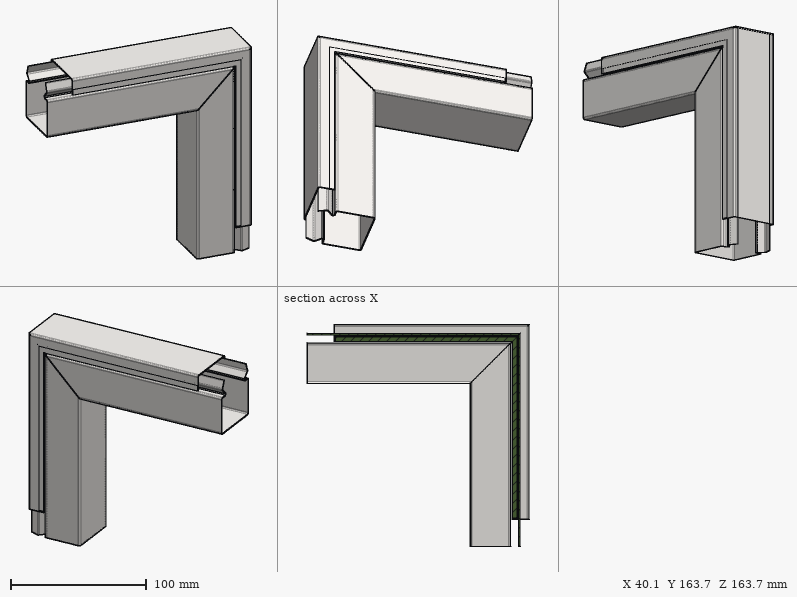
import cadquery as cq
import math

LENGTH = 163.7
WIDTH = 40.1
HEIGHT = 43.9
SHEET = 0.8
CORNER_RADIUS = 1.6

SHOULDER_DEPTH = 13.6
LIP_REACH = 6.4
LIP_RISE = 1.1
LIP_RADIUS = 1.6
LIP_BEND_RADIUS = 0.8
BARB_INSET = 0.8
BARB_OUTER_RADIUS = 1.0
BARB_INNER_RADIUS = 1.3
FLAP_TIP_RADIUS = 0.3
FLAP_LEAN = 2.6

COVER_LENGTH = 143.7
COVER_SIDE = 12.8
BEAD_WIDTH = 0.8
BEAD_HEIGHT = 4.1
BEAD_SETBACK = 0.8

HALF_WIDTH = WIDTH / 2


def unit(start, end):
    """Unit vector from one point to another."""
    length = math.dist(start, end)
    return ((end[0] - start[0]) / length, (end[1] - start[1]) / length)


def offset_path(points, distance):
    """Open path moved to its left by a distance, with mitred corners."""
    normals = []
    for start, end in zip(points, points[1:]):
        along = unit(start, end)
        normals.append((-along[1], along[0]))
    moved = []
    for i, (x, z) in enumerate(points):
        before = normals[max(i - 1, 0)]
        after = normals[min(i, len(normals) - 1)]
        reach = distance / (1 + before[0] * after[0] + before[1] * after[1])
        moved.append((x + reach * (before[0] + after[0]), z + reach * (before[1] + after[1])))
    return moved


def draw_corner(sketch, previous, corner, following, radius):
    """Draw a line to a corner and, if it has a radius, an arc around it."""
    if radius == 0:
        return sketch.lineTo(*corner)
    back = unit(corner, previous)
    ahead = unit(corner, following)
    half_angle = math.acos(back[0] * ahead[0] + back[1] * ahead[1]) / 2
    setback = radius / math.tan(half_angle)
    bisector = unit((0, 0), (back[0] + ahead[0], back[1] + ahead[1]))
    rise = radius / math.sin(half_angle) - radius
    start = (corner[0] + setback * back[0], corner[1] + setback * back[1])
    middle = (corner[0] + rise * bisector[0], corner[1] + rise * bisector[1])
    end = (corner[0] + setback * ahead[0], corner[1] + setback * ahead[1])
    return sketch.lineTo(*start).threePointArc(middle, end)


def extrude_section(half, radii, length):
    """Mirror the +X half of a section, round its corners and extrude it from Y = 0 to -Y."""
    points = half + [(-x, z) for x, z in reversed(half)]
    radii = radii + radii[::-1]
    sketch = cq.Workplane("XZ").moveTo((points[0][0] + points[-1][0]) / 2, points[0][1])
    for i, corner in enumerate(points):
        following = points[(i + 1) % len(points)]
        sketch = draw_corner(sketch, points[i - 1], corner, following, radii[i])
    return sketch.close().extrude(length)


def mitred(leg):
    """Keep the part of a horizontal leg that lies above the 45 degree plane Y = Z."""
    keep = (
        cq.Workplane("YZ")
        .polyline([(0, 0), (-LENGTH, -LENGTH), (-LENGTH, 0)])
        .close()
        .extrude(WIDTH, both=True)
    )
    return leg.intersect(keep)


def across_mitre(leg):
    """Mirror a horizontal leg across the mitre plane, which turns it into the vertical leg."""
    return leg.mirror((0, 1, -1))


def make_trunk():
    """Horizontal trunk: a channel of even sheet thickness with folded snap lips."""
    lip_x = HALF_WIDTH - LIP_REACH + SHEET
    barb_x = HALF_WIDTH - BARB_INSET
    lip_top = -SHOULDER_DEPTH + LIP_RISE
    barb_z = lip_top + barb_x - lip_x
    flap_x = barb_x - FLAP_LEAN
    flap_top = -SHEET
    flap_rise = flap_top - barb_z
    flap_end_width = SHEET * math.hypot(FLAP_LEAN, flap_rise) / flap_rise
    outer = [
        (HALF_WIDTH, -HEIGHT),
        (HALF_WIDTH, -SHOULDER_DEPTH),
        (lip_x, -SHOULDER_DEPTH),
        (lip_x, lip_top),
        (barb_x, barb_z),
        (flap_x, flap_top),
    ]
    outer_radii = [CORNER_RADIUS, CORNER_RADIUS, 0, 0, BARB_OUTER_RADIUS, FLAP_TIP_RADIUS]
    inner = offset_path([(0, -HEIGHT)] + outer, SHEET)[1:-1]
    inner.append((flap_x - flap_end_width, flap_top))
    inside_radius = CORNER_RADIUS - SHEET
    inner_radii = [inside_radius, inside_radius, LIP_RADIUS, LIP_BEND_RADIUS, BARB_INNER_RADIUS, 0]
    return extrude_section(outer + inner[::-1], outer_radii + inner_radii[::-1], LENGTH)


def make_bead(side):
    """Bead inside one lower edge of the cover, sloped at 45 degrees on top to sit under the barb."""
    inner_x = HALF_WIDTH - SHEET
    section = [
        (side * inner_x, -COVER_SIDE),
        (side * (inner_x - BEAD_WIDTH), -COVER_SIDE),
        (side * (inner_x - BEAD_WIDTH), -COVER_SIDE + BEAD_HEIGHT - BEAD_WIDTH),
        (side * inner_x, -COVER_SIDE + BEAD_HEIGHT),
    ]
    return cq.Workplane("XZ").polyline(section).close().extrude(COVER_LENGTH - BEAD_SETBACK)


def make_cover():
    """L-shaped snap cover, closed at the outer corner, with a bead along each lower edge."""
    inner_x = HALF_WIDTH - SHEET
    half = [
        (HALF_WIDTH, 0),
        (HALF_WIDTH, -COVER_SIDE),
        (inner_x, -COVER_SIDE),
        (inner_x, -SHEET),
    ]
    radii = [CORNER_RADIUS, 0, 0, CORNER_RADIUS - SHEET]
    leg = extrude_section(half, radii, COVER_LENGTH)
    for side in (-1, 1):
        leg = leg.union(make_bead(side))
    leg = mitred(leg)
    return leg.union(across_mitre(leg)).clean()


horizontal_trunk = mitred(make_trunk())
vertical_trunk = across_mitre(horizontal_trunk)
cover = make_cover()

result = cq.Compound.makeCompound([horizontal_trunk.val(), vertical_trunk.val(), cover.val()])